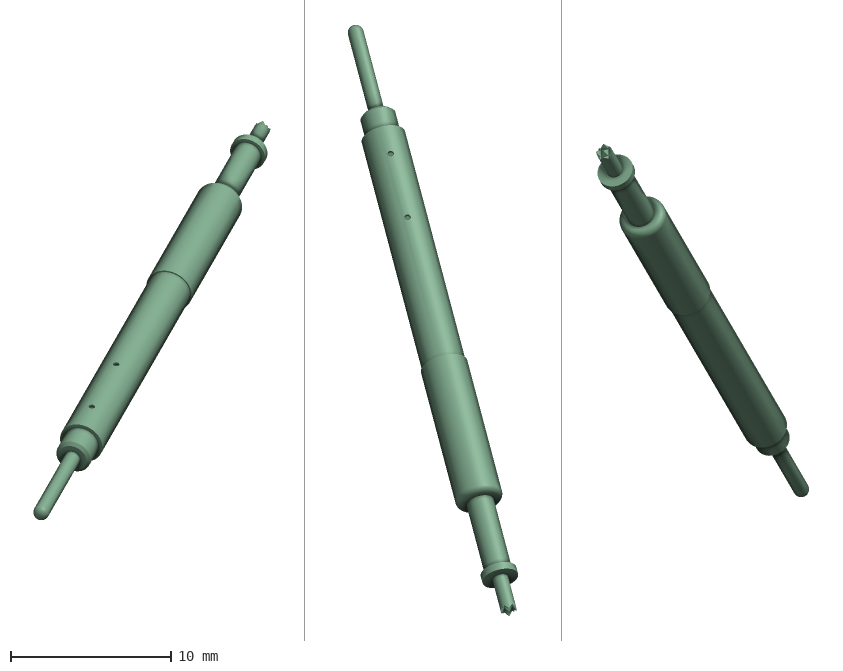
import cadquery as cq


pin_dia = 1.0
tail_sleeve_dia = 2.25
body_dia = 2.8
grip_dia = 3.0
barrel_dia = 1.75
collar_dia = 2.3

tail_pin_length = 6.5
tail_sleeve_length = 1.7
body_length = 16.95
grip_length = 10.05
barrel_length = 5.1
collar_length = 0.5
crown_pin_length = 2.5

sleeve_chamfer = 0.2
grip_fillet_radius = 0.4

dimple_dia = 0.4
dimple_depth = 0.2
dimple_places = (10.25, 14.95)

crown_grooves_each_way = 2
crown_groove_width = pin_dia / crown_grooves_each_way
crown_groove_depth = 0.3

sleeve_start = tail_pin_length
body_start = sleeve_start + tail_sleeve_length
grip_start = body_start + body_length
barrel_start = grip_start + grip_length
collar_start = barrel_start + barrel_length
crown_pin_start = collar_start + collar_length
total_length = crown_pin_start + crown_pin_length


def make_cylinder(diameter, start, length):
    """Solid cylinder on the Y axis, growing from start toward +Y."""
    plane = cq.Plane(origin=(0, start, 0), xDir=(1, 0, 0), normal=(0, 1, 0))
    return cq.Workplane(plane).circle(diameter / 2).extrude(length)


def make_tail_pin():
    """Thin pin with a hemispherical tip at Y = 0."""
    tip_radius = pin_dia / 2
    shank = make_cylinder(pin_dia, tip_radius, tail_pin_length - tip_radius)
    tip = cq.Workplane("XY").sphere(tip_radius).translate((0, tip_radius, 0))
    return shank.union(tip)


def make_tail_sleeve():
    """Short sleeve, chamfered around its tail-side edge."""
    sleeve = make_cylinder(tail_sleeve_dia, sleeve_start, tail_sleeve_length)
    return sleeve.faces("<Y").edges().chamfer(sleeve_chamfer)


def make_grip():
    """Widest section, rounded around its crown-side edge."""
    grip = make_cylinder(grip_dia, grip_start, grip_length)
    return grip.faces(">Y").edges().fillet(grip_fillet_radius)


def make_crown_groove(offset):
    """V groove running along Z across the crown, centred at X = offset."""
    half_width = crown_groove_width / 2
    return (
        cq.Workplane("XY")
        .moveTo(offset - half_width, total_length)
        .lineTo(offset, total_length - crown_groove_depth)
        .lineTo(offset + half_width, total_length)
        .close()
        .extrude(pin_dia, both=True)
    )


def cut_crown(part):
    """Cross two sets of V grooves to leave a serrated crown."""
    for index in range(crown_grooves_each_way):
        offset = (index + 0.5) * crown_groove_width - pin_dia / 2
        groove = make_crown_groove(offset)
        part = part.cut(groove)
        part = part.cut(groove.rotate((0, 0, 0), (0, 1, 0), 90))
    return part


def cut_dimples(part):
    """Drill the shallow dimples into the top line of the body."""
    for place in dimple_places:
        dimple = (
            cq.Workplane("XY", origin=(0, place, body_dia / 2 - dimple_depth))
            .circle(dimple_dia / 2)
            .extrude(2 * dimple_depth)
        )
        part = part.cut(dimple)
    return part


result = (
    make_tail_pin()
    .union(make_tail_sleeve())
    .union(make_cylinder(body_dia, body_start, body_length))
    .union(make_grip())
    .union(make_cylinder(barrel_dia, barrel_start, barrel_length))
    .union(make_cylinder(collar_dia, collar_start, collar_length))
    .union(make_cylinder(pin_dia, crown_pin_start, crown_pin_length))
)
result = cut_dimples(result)
result = cut_crown(result)